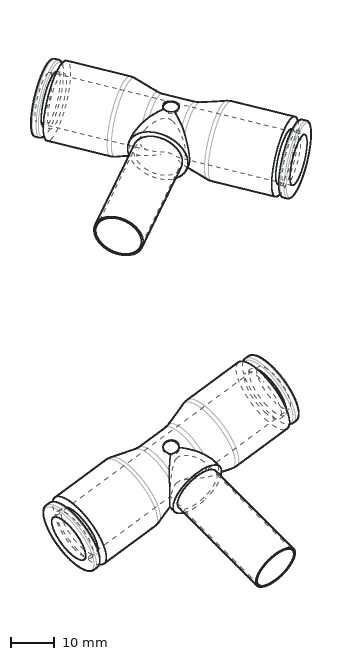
import cadquery as cq

run_length = 62.0
run_bore_diameter = 12.0

body_diameter = 19.0
body_end_x = 27.75
waist_diameter = 14.7
shoulder_x = 11.8
waist_end_x = 4.6
shoulder_blend_radius = 3.4
waist_blend_radius = 4.0

ring_diameter = 18.5
ring_thickness = 1.75
ring_edge_radius = 0.4
ring_neck_diameter = 13.2

collar_diameter = waist_diameter
collar_end_y = -9.25
stem_diameter = run_bore_diameter
stem_bore_diameter = 11.1
stem_end_y = -36.8

recess_diameter = 3.7
recess_depth = 0.5


def cylinder_along_x(diameter, length):
    """Solid cylinder on the run axis, centred on the branch."""
    return cq.Workplane("YZ").circle(diameter / 2).extrude(length / 2, both=True)


def cylinder_toward_branch(diameter, end_y):
    """Solid cylinder on the branch axis, from the run axis out to end_y."""
    return cq.Workplane("XZ").circle(diameter / 2).extrude(-end_y)


def blend_circles(solid, circle_x, radius):
    """Round the pair of circular edges centred at +circle_x and -circle_x."""
    for x in (-circle_x, circle_x):
        circle = cq.selectors.NearestToPointSelector((x, 0, 0))
        solid = solid.edges(circle).fillet(radius)
    return solid


def make_run_body():
    """Both socket bodies, tapering through blended shoulders to the waist."""
    body_radius = body_diameter / 2
    waist_radius = waist_diameter / 2
    outline = [
        (-body_end_x, 0),
        (-body_end_x, body_radius),
        (-shoulder_x, body_radius),
        (-waist_end_x, waist_radius),
        (waist_end_x, waist_radius),
        (shoulder_x, body_radius),
        (body_end_x, body_radius),
        (body_end_x, 0),
    ]
    body = cq.Workplane("XY").polyline(outline).close().revolve(360, (0, 0, 0), (1, 0, 0))
    body = blend_circles(body, shoulder_x, shoulder_blend_radius)
    return blend_circles(body, waist_end_x, waist_blend_radius)


def make_release_rings():
    """Rounded rings flush with the run ends, joined by one neck through the run."""
    run_end = cq.Workplane("YZ", origin=(run_length / 2, 0, 0))
    ring = run_end.circle(ring_diameter / 2).extrude(-ring_thickness)
    ring = ring.edges().fillet(ring_edge_radius)
    neck = cylinder_along_x(ring_neck_diameter, run_length - ring_thickness)
    return neck.union(ring).union(ring.mirror("YZ"))


def make_branch():
    """Collar as wide as the waist, with the plain tube stem standing out of it."""
    collar = cylinder_toward_branch(collar_diameter, collar_end_y)
    stem = cylinder_toward_branch(stem_diameter, stem_end_y)
    return collar.union(stem)


def make_recess():
    """Cutter for the flat-bottomed round recess on top of the waist."""
    floor_z = waist_diameter / 2 - recess_depth
    return cq.Workplane("XY", origin=(0, 0, floor_z)).circle(recess_diameter / 2).extrude(body_diameter / 2)


result = make_run_body().union(make_release_rings()).union(make_branch())
result = result.cut(cylinder_along_x(run_bore_diameter, run_length))
result = result.cut(cylinder_toward_branch(stem_bore_diameter, stem_end_y))
result = result.cut(make_recess())